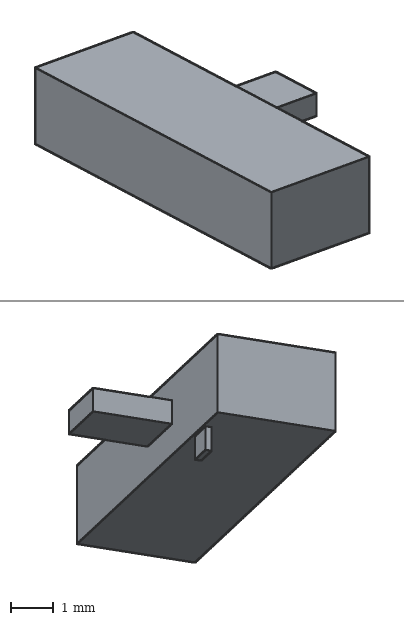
import cadquery as cq

body_length = 8.7
body_depth = 3.0
body_height = 2.0

lever_left = 2.84
lever_width = 1.505
lever_reach = 2.0
lever_thickness = 0.6
lever_drop = 0.6

pin_left = 0.9
pin_width = 0.65
pin_thickness = 0.16
pin_back_gap = 0.06
pin_length = 0.6


def block(corner, size):
    """Box with its lowest X, Y, Z corner at the given point."""
    return cq.Workplane("XY").box(*size, centered=False).translate(corner)


body = block((0, 0, 0), (body_length, body_depth, body_height))

lever_bottom = body_height - lever_drop - lever_thickness
lever = block(
    (lever_left, body_depth, lever_bottom),
    (lever_width, lever_reach, lever_thickness),
)

pin_front = body_depth - pin_back_gap - pin_thickness
pin = block(
    (pin_left, pin_front, -pin_length),
    (pin_width, pin_thickness, pin_length),
)

result = body.union(lever).union(pin)